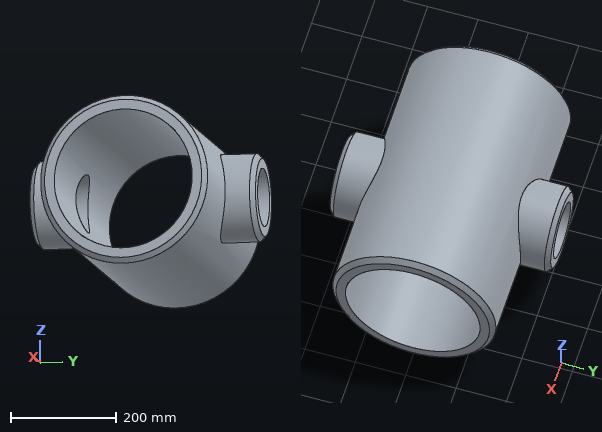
import cadquery as cq

run_length = 508.0
run_outer_diameter = 324.0
run_bore_diameter = 267.0

branch_span = 438.0
branch_outer_diameter = 168.0
branch_bore_diameter = 110.5

end_chamfer = 9.5


def centred_cylinder(plane, diameter, length):
    """Cylinder centred on the origin, along the normal of the plane."""
    return cq.Workplane(plane).circle(diameter / 2).extrude(length / 2, both=True)


def bevelled_bar(plane, axis, diameter, length):
    """Solid bar with both end edges bevelled."""
    bar = centred_cylinder(plane, diameter, length)
    return bar.faces(f"|{axis}").edges().chamfer(end_chamfer)


run = bevelled_bar("YZ", "X", run_outer_diameter, run_length)
branches = bevelled_bar("XZ", "Y", branch_outer_diameter, branch_span)
body = run.union(branches)

run_bore = centred_cylinder("YZ", run_bore_diameter, run_length)
branch_bore = centred_cylinder("XZ", branch_bore_diameter, branch_span)

result = body.cut(run_bore).cut(branch_bore)